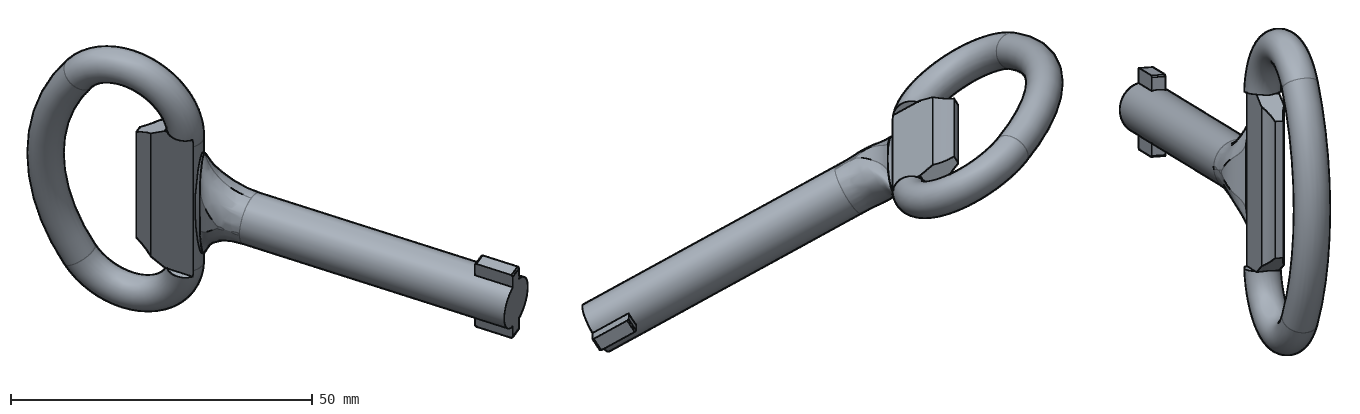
import cadquery as cq
import math

bar_radius = 3.1
ring_height = 55.0
ring_half_height = ring_height / 2
bend_radius = 10.8
ring_right = 32.0
straight_x = ring_right - bar_radius
bend_x = straight_x - bend_radius
bend_z = ring_half_height - bar_radius - bend_radius

plate_left = 20.15
plate_bevel_end = 23.5
plate_corner_x = 26.0
plate_half_height = 15.0
plate_left_half_height = 11.6
plate_half_thickness = 2.0
plate_edge_half_thickness = 0.7
bevel_mid_half_thickness = 1.2

total_length = 89.95
shaft_radius = 4.5
tooth_length = 7.0
tooth_half_height = 6.9
tooth_width = 2.4
tooth_chamfer = 0.3

neck_radius = 9.0
neck_start = 32.4
neck_end = ring_right + neck_radius
neck_full_width_x = 36.4
neck_start_half_width = 2.0
neck_root_half_width = 1.7
scoop_end = 37.1
neck_stations = 7


def tangent_radius(run, rise):
    """Radius of an arc that ends tangent to X after the given run and rise."""
    return (run**2 + rise**2) / (2 * rise)


def arc_height(x, end_x, end_height, radius):
    """Height at x of a convex arc that levels out at end_x."""
    return end_height - radius + math.sqrt(radius**2 - (end_x - x) ** 2)


def neck_half_height(x):
    """Half height of the neck, a concave fillet between the bar and the shaft."""
    return shaft_radius + neck_radius - math.sqrt(neck_radius**2 - (neck_end - x) ** 2)


def box_between(x0, x1, half_y, half_z):
    """Box from x0 to x1, centred on the X axis."""
    return cq.Workplane("XY").box(x1 - x0, 2 * half_y, 2 * half_z).translate(((x0 + x1) / 2, 0, 0))


def make_ring():
    reach = bend_x - bar_radius
    left_radius = (reach**2 + bend_z**2 - bend_radius**2) / (2 * (reach - bend_radius))
    left_center_x = bar_radius + left_radius
    slope = math.atan2(bend_z, left_center_x - bend_x)
    joint_x = bend_x - bend_radius * math.cos(slope)
    joint_z = bend_z + bend_radius * math.sin(slope)
    middle_angle = (math.pi - slope) / 2
    middle_x = bend_x + bend_radius * math.cos(middle_angle)
    middle_z = bend_z + bend_radius * math.sin(middle_angle)
    path = (
        cq.Workplane("XZ")
        .moveTo(straight_x, 0)
        .lineTo(straight_x, bend_z)
        .threePointArc((middle_x, middle_z), (joint_x, joint_z))
        .threePointArc((bar_radius, 0), (joint_x, -joint_z))
        .threePointArc((middle_x, -middle_z), (straight_x, -bend_z))
        .close()
    )
    ring = cq.Workplane("XY").center(straight_x, 0).circle(bar_radius).sweep(path)
    for side in (-1, 1):
        flat = box_between(plate_corner_x - bar_radius, ring_right, bar_radius / 2, plate_half_height)
        ring = ring.cut(flat.translate((0, side * (plate_half_thickness + bar_radius / 2), 0)))
    return ring


def make_plate():
    outline = (
        cq.Workplane("XZ")
        .polyline([
            (plate_left, -plate_left_half_height),
            (plate_corner_x, -plate_half_height),
            (straight_x, -plate_half_height),
            (straight_x, plate_half_height),
            (plate_corner_x, plate_half_height),
            (plate_left, plate_left_half_height),
        ])
        .close()
        .extrude(plate_half_thickness, both=True)
    )
    bevel_mid_x = (plate_left + plate_bevel_end) / 2
    section = (
        cq.Workplane("XY")
        .moveTo(plate_left, -plate_edge_half_thickness)
        .threePointArc((bevel_mid_x, -bevel_mid_half_thickness), (plate_bevel_end, -plate_half_thickness))
        .lineTo(straight_x, -plate_half_thickness)
        .lineTo(straight_x, plate_half_thickness)
        .lineTo(plate_bevel_end, plate_half_thickness)
        .threePointArc((bevel_mid_x, bevel_mid_half_thickness), (plate_left, plate_edge_half_thickness))
        .close()
        .extrude(plate_half_height, both=True)
    )
    return outline.intersect(section)


def make_neck():
    width_radius = tangent_radius(neck_full_width_x - neck_start, shaft_radius - neck_start_half_width)
    neck = cq.Workplane("YZ", origin=(neck_start, 0, 0))
    step = (neck_end - neck_start) / (neck_stations - 1)
    for station in range(neck_stations):
        x = neck_start + station * step
        half_height = neck_half_height(x)
        width_x = min(x, neck_full_width_x)
        half_width = arc_height(width_x, neck_full_width_x, shaft_radius, width_radius)
        if station > 0:
            neck = neck.workplane(offset=step)
        neck = neck.ellipse(half_width, half_height)
    neck = neck.loft()

    scoop_radius = tangent_radius(scoop_end - neck_start, shaft_radius - neck_root_half_width)
    scoop_mid_x = (neck_start + scoop_end) / 2
    scoop_mid_y = arc_height(scoop_mid_x, scoop_end, shaft_radius, scoop_radius)
    envelope = (
        cq.Workplane("XY")
        .moveTo(neck_start, -neck_root_half_width)
        .threePointArc((scoop_mid_x, -scoop_mid_y), (scoop_end, -shaft_radius))
        .lineTo(neck_end, -shaft_radius)
        .lineTo(neck_end, shaft_radius)
        .lineTo(scoop_end, shaft_radius)
        .threePointArc((scoop_mid_x, scoop_mid_y), (neck_start, neck_root_half_width))
        .close()
        .extrude(ring_half_height, both=True)
    )
    return neck.intersect(envelope)


def make_neck_root():
    """Thin elliptical web that joins the neck to the straight bar."""
    return (
        cq.Workplane("YZ", origin=(straight_x, 0, 0))
        .ellipse(neck_root_half_width, neck_half_height(neck_start))
        .extrude(neck_start - straight_x)
    )


def make_shaft():
    return cq.Workplane("YZ", origin=(neck_end, 0, 0)).circle(shaft_radius).extrude(total_length - neck_end)


def make_teeth():
    teeth = box_between(total_length - tooth_length, total_length, tooth_width / 2, tooth_half_height)
    return teeth.edges("|Y").chamfer(tooth_chamfer)


result = (
    make_ring()
    .union(make_plate())
    .union(make_neck_root())
    .union(make_neck())
    .union(make_shaft())
    .union(make_teeth())
)